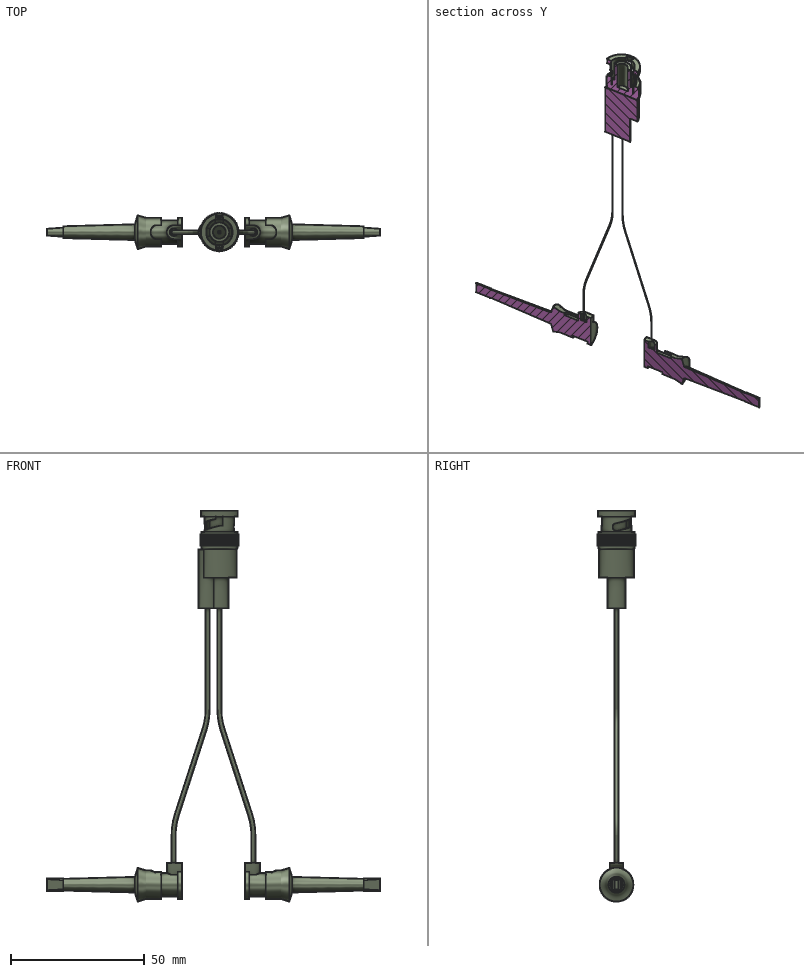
import cadquery as cq
import math

TOTAL_HEIGHT = 146.8
CABLE_SPACING = 4.4
CABLE_DIA = 1.6
PLUG_X = CABLE_SPACING / 2

RIM_DIA = 14.0
RIM_DEPTH = 2.2
NECK_DIA = 11.3
COLLAR_DIA = 13.8
COLLAR_DEPTH = 7.9
KNURL_DIA = 14.5
KNURL_ROOT_DIA = 14.1
KNURL_TOP_DEPTH = 8.8
KNURL_BOTTOM_DEPTH = 13.2
KNURL_TEETH = 52
PLUG_DEPTH = 14.5
COLLAR_FILLET = 0.9
BORE_DIA = 10.0
BORE_DEPTH = 11.7

RIB_SPAN = 9.4
RIB_WIDTH = 3.1
RIB_TOP_DEPTH = 8.8
INSULATOR_OUTER_DIA = 7.3
INSULATOR_INNER_DIA = 4.8
INSULATOR_TOP_DEPTH = 0.7
PIN_DIA = 1.2
PIN_TOP_DEPTH = 1.8
PIN_POINT = 0.3

SLOT_WIDTH = 3.0
SLOT_ENTRY_DEPTH = 4.3
SLOT_END_DEPTH = 6.2
ENTRY_WIDTH = 2.6
ENTRY_REACH = 6.2

BARREL_DIA = 6.9
BOOT_UPPER_DIA = 13.2
BOOT_UPPER_LENGTH = 10.5
BOOT_LENGTH = 22.2

CLIP_SPAN = 125.0
CLIP_TIP_X = CLIP_SPAN / 2
TIP_LENGTH = 6.2
TIP_END_WIDTH = 2.6
TIP_BASE_WIDTH = 3.5
TIP_DIA = 4.8
TIP_SLOT_WIDTH = 1.5
TIP_SLOT_HEIGHT = 3.2
TIP_SLOT_DEPTH = 3.0
SHAFT_FRONT_DIA = 4.5
SHAFT_REAR_DIA = 6.0
SHAFT_END = 33.0
LIP_DIA = 12.8
LIP_AT = 34.0
BODY_DIA = 10.9
FLARE_END = 37.1
BODY_END = 42.9
GRIP_DIA = 9.0
FLANGE_START = 49.2
CLIP_LENGTH = 50.8
CLIP_Z = LIP_DIA / 2

BOSS_WIDTH = 5.1
BOSS_TOP = 8.2
BOSS_HOLE_DIA = 3.0
BOSS_HOLE_DEPTH = 3.0
CABLE_AT = 47.5
NOTCH_WIDTH = 5.1
NOTCH_START = 38.9
NOTCH_SHOULDER = 40.7

BEND_RADIUS = 25.0
UPPER_BEND_Z = 72.2
LOWER_BEND_Z = 25.0

PLUG_BOTTOM_Z = TOTAL_HEIGHT - PLUG_DEPTH
BOOT_BOTTOM_Z = PLUG_BOTTOM_Z - BOOT_LENGTH


def plug_z(depth):
    return TOTAL_HEIGHT - depth


def plug_cylinder(diameter, top_depth, bottom_depth):
    """Cylinder on the plug axis between two depths."""
    return (
        cq.Workplane("XY", origin=(PLUG_X, 0, plug_z(bottom_depth)))
        .circle(diameter / 2)
        .extrude(bottom_depth - top_depth)
    )


def knurled_band():
    """Ring of V-shaped teeth around the collar."""
    points = []
    for step in range(2 * KNURL_TEETH):
        radius = (KNURL_DIA if step % 2 == 0 else KNURL_ROOT_DIA) / 2
        angle = math.pi * step / KNURL_TEETH
        points.append((radius * math.cos(angle), radius * math.sin(angle)))
    return (
        cq.Workplane("XY", origin=(PLUG_X, 0, plug_z(KNURL_BOTTOM_DEPTH)))
        .polyline(points)
        .close()
        .extrude(KNURL_BOTTOM_DEPTH - KNURL_TOP_DEPTH)
    )


def bayonet_slot():
    """Entry channel at -Y, quarter-turn helical slot, and round end pocket at -X, cut through the neck."""
    rise = SLOT_END_DEPTH - SLOT_ENTRY_DEPTH
    middle_radius = (NECK_DIA + BORE_DIA) / 4
    radial_size = NECK_DIA - BORE_DIA
    helix = cq.Wire.makeHelix(4 * rise, rise, middle_radius)
    ramp = (
        cq.Workplane("XZ", origin=(middle_radius, 0, 0))
        .rect(radial_size, SLOT_WIDTH)
        .sweep(cq.Workplane(helix), isFrenet=True)
        .rotate((0, 0, 0), (0, 0, 1), 180)
    )
    end_pocket = (
        cq.Workplane("YZ", origin=(-middle_radius - radial_size / 2, 0, 0))
        .circle(SLOT_WIDTH / 2)
        .extrude(radial_size)
    )
    channel_inner = RIB_SPAN / 2
    channel_height = SLOT_ENTRY_DEPTH + SLOT_WIDTH / 2
    channel = cq.Workplane("XY").box(
        ENTRY_WIDTH, ENTRY_REACH - channel_inner, channel_height, centered=(True, False, False)
    ).translate((0, -ENTRY_REACH, rise - SLOT_WIDTH / 2))
    return ramp.union(end_pocket).union(channel).translate((PLUG_X, 0, plug_z(SLOT_END_DEPTH)))


def make_plug():
    collar = plug_cylinder(COLLAR_DIA, COLLAR_DEPTH, PLUG_DEPTH).faces("<Z").edges().fillet(COLLAR_FILLET)
    plug = (
        plug_cylinder(NECK_DIA, 0, PLUG_DEPTH)
        .union(plug_cylinder(RIM_DIA, 0, RIM_DEPTH))
        .union(collar)
        .union(knurled_band())
        .cut(plug_cylinder(BORE_DIA, 0, BORE_DEPTH))
    )
    slot = bayonet_slot()
    for turn in (0, 180):
        plug = plug.cut(slot.rotate((PLUG_X, 0, 0), (PLUG_X, 0, 1), turn))

    rib_height = BORE_DEPTH - RIB_TOP_DEPTH
    rib_pair = (
        cq.Workplane("XY")
        .box(RIB_SPAN, RIB_WIDTH, rib_height, centered=(True, True, False))
        .translate((PLUG_X, 0, plug_z(BORE_DEPTH)))
        .cut(plug_cylinder(INSULATOR_INNER_DIA, RIB_TOP_DEPTH, BORE_DEPTH))
    )
    for turn in (0, 90):
        plug = plug.union(rib_pair.rotate((PLUG_X, 0, 0), (PLUG_X, 0, 1), turn))
    insulator = plug_cylinder(INSULATOR_OUTER_DIA, INSULATOR_TOP_DEPTH, BORE_DEPTH).cut(
        plug_cylinder(INSULATOR_INNER_DIA, INSULATOR_TOP_DEPTH, BORE_DEPTH)
    )
    pin = plug_cylinder(PIN_DIA, PIN_TOP_DEPTH, BORE_DEPTH).faces(">Z").chamfer(PIN_POINT)
    return plug.union(insulator).union(pin)


def make_boot():
    """Two fused barrels, one per cable, with a wider round socket under the plug."""
    boot = (
        cq.Workplane("XY", origin=(PLUG_X, 0, PLUG_BOTTOM_Z))
        .circle(BOOT_UPPER_DIA / 2)
        .extrude(-BOOT_UPPER_LENGTH)
    )
    for side in (-1, 1):
        barrel = (
            cq.Workplane("XY", origin=(side * CABLE_SPACING / 2, 0, PLUG_BOTTOM_Z))
            .circle(BARREL_DIA / 2)
            .extrude(-BOOT_LENGTH)
        )
        boot = boot.union(barrel)
    return boot


def make_cable(side):
    """Round cable with two equal opposite bends; side is -1 for -X and +1 for +X."""
    top_x = CABLE_SPACING / 2
    bottom_x = CLIP_TIP_X - CABLE_AT
    bottom_z = CLIP_Z + BOSS_TOP - BOSS_HOLE_DEPTH

    offset = 2 * BEND_RADIUS - (bottom_x - top_x)
    drop = UPPER_BEND_Z - LOWER_BEND_Z
    run = math.sqrt(offset**2 + drop**2 - (2 * BEND_RADIUS) ** 2)
    bend = math.atan2(drop, offset) - math.atan2(run, 2 * BEND_RADIUS)

    def arc_point(angle):
        return BEND_RADIUS * (1 - math.cos(angle)), BEND_RADIUS * math.sin(angle)

    half_x, half_z = arc_point(bend / 2)
    end_x, end_z = arc_point(bend)
    path = (
        cq.Workplane("XZ")
        .moveTo(side * top_x, BOOT_BOTTOM_Z)
        .lineTo(side * top_x, UPPER_BEND_Z)
        .threePointArc(
            (side * (top_x + half_x), UPPER_BEND_Z - half_z),
            (side * (top_x + end_x), UPPER_BEND_Z - end_z),
        )
        .lineTo(side * (bottom_x - end_x), LOWER_BEND_Z + end_z)
        .threePointArc(
            (side * (bottom_x - half_x), LOWER_BEND_Z + half_z),
            (side * bottom_x, LOWER_BEND_Z),
        )
        .lineTo(side * bottom_x, bottom_z)
    )
    return (
        cq.Workplane("XY", origin=(side * top_x, 0, BOOT_BOTTOM_Z))
        .circle(CABLE_DIA / 2)
        .sweep(path)
    )


def clip_body():
    """Turned body: tapered shaft, flared lip, grip neck and end flange."""
    return (
        cq.Workplane("XY")
        .moveTo(TIP_LENGTH, 0)
        .lineTo(TIP_LENGTH, SHAFT_FRONT_DIA / 2)
        .lineTo(SHAFT_END, SHAFT_REAR_DIA / 2)
        .lineTo(LIP_AT, LIP_DIA / 2)
        .lineTo(FLARE_END, BODY_DIA / 2)
        .lineTo(BODY_END, BODY_DIA / 2)
        .lineTo(BODY_END, GRIP_DIA / 2)
        .lineTo(FLANGE_START, GRIP_DIA / 2)
        .lineTo(FLANGE_START, BODY_DIA / 2)
        .lineTo(CLIP_LENGTH, BODY_DIA / 2)
        .lineTo(CLIP_LENGTH, 0)
        .close()
        .revolve(360, (0, 0, 0), (1, 0, 0))
    )


def clip_tip():
    """Round jaw with two flat sides that narrow toward its end, and a slot in the end face."""
    jaw = (
        cq.Workplane("XY", origin=(0, 0, -TIP_DIA / 2))
        .moveTo(0, -TIP_END_WIDTH / 2)
        .lineTo(TIP_LENGTH, -TIP_BASE_WIDTH / 2)
        .lineTo(TIP_LENGTH, TIP_BASE_WIDTH / 2)
        .lineTo(0, TIP_END_WIDTH / 2)
        .close()
        .extrude(TIP_DIA)
    )
    rod = cq.Workplane("YZ").circle(TIP_DIA / 2).extrude(TIP_LENGTH)
    slot = cq.Workplane("XY").box(
        TIP_SLOT_DEPTH, TIP_SLOT_WIDTH, TIP_SLOT_HEIGHT, centered=(False, True, True)
    )
    return jaw.intersect(rod).cut(slot)


def cable_boss():
    """Upright boss, round toward the tip and flush with the rear face."""
    half = BOSS_WIDTH / 2
    return (
        cq.Workplane("XY")
        .moveTo(CLIP_LENGTH, -half)
        .lineTo(CABLE_AT, -half)
        .threePointArc((CABLE_AT - half, 0), (CABLE_AT, half))
        .lineTo(CLIP_LENGTH, half)
        .close()
        .extrude(BOSS_TOP)
    )


def boss_hole():
    return (
        cq.Workplane("XY", origin=(CABLE_AT, 0, BOSS_TOP))
        .circle(BOSS_HOLE_DIA / 2)
        .extrude(-BOSS_HOLE_DEPTH)
    )


def thumb_notch():
    """Notch with a curved end that carries the grip surface forward into the body."""
    half = NOTCH_WIDTH / 2
    outline = (
        cq.Workplane("XY")
        .moveTo(BODY_END, -half)
        .lineTo(NOTCH_SHOULDER, -half)
        .threePointArc((NOTCH_START, 0), (NOTCH_SHOULDER, half))
        .lineTo(BODY_END, half)
        .close()
        .extrude(BODY_DIA)
    )
    core = cq.Workplane("YZ").circle(GRIP_DIA / 2).extrude(CLIP_LENGTH)
    return outline.cut(core)


def make_clip(side):
    """Test clip pointing outward; side is -1 for -X and +1 for +X."""
    clip = (
        clip_body()
        .union(clip_tip())
        .cut(thumb_notch())
        .union(cable_boss())
        .cut(boss_hole())
        .translate((-CLIP_TIP_X, 0, CLIP_Z))
    )
    return clip if side < 0 else clip.mirror("YZ")


plug = make_plug()
boot = make_boot()
cables = [make_cable(side) for side in (-1, 1)]
clips = [make_clip(side) for side in (-1, 1)]

bodies = [plug, boot] + cables + clips
result = cq.Compound.makeCompound([body.solids().val() for body in bodies])